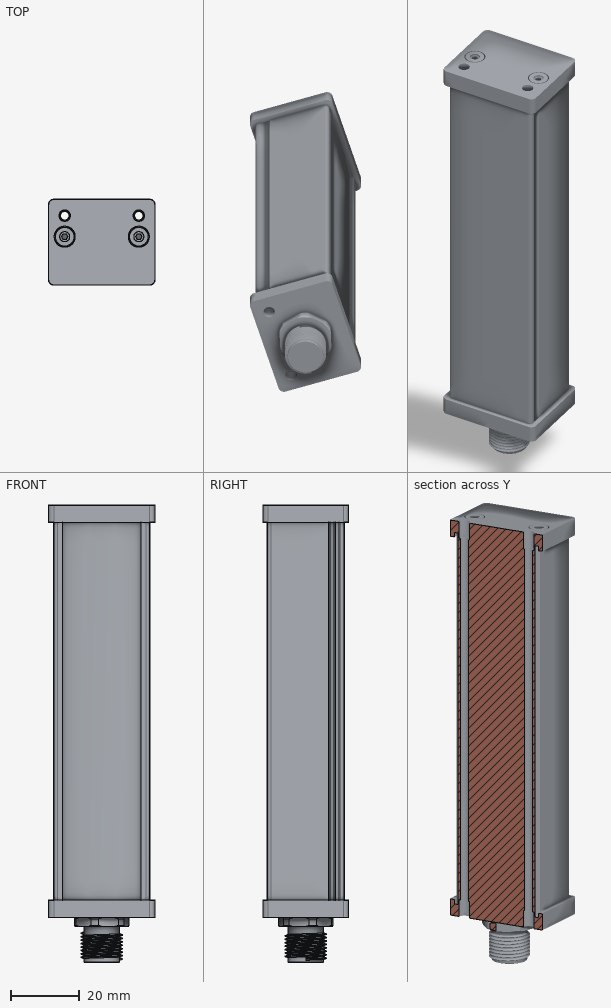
import cadquery as cq
import math

total_length = 133.1

cap_width = 31.0
cap_depth = 25.0
cap_thickness = 5.0
cap_corner_radius = 1.6
seat_depth = 1.3

tube_width = 28.0
tube_depth = 22.5
tube_visible_length = 110.0
tube_corner_radius = 1.0

window_width = 22.9
window_edge_depth = 1.3
window_bulge = 0.9

groove_rear = 1.6
groove_bevel_end = 2.5
groove_floor_rear = 3.0
groove_floor_front = 4.1
groove_front = 4.7
groove_bevel_depth = 0.4
groove_depth = 0.9

hole_spacing = 21.5
hole_y = 7.7
cap_hole_diameter = 3.3
tube_hole_diameter = 2.5

screw_y = 1.6
screw_gap_outer = 6.1
screw_gap_inner = 5.5
screw_gap_depth = 0.8
socket_rim_diameter = 2.9
socket_rim_depth = 0.4
socket_across_flats = 1.6
socket_depth = 1.6

nut_across_flats = 14.9
nut_corner_diameter = 16.1
nut_height = 2.7
nut_chamfer = 0.4
nut_turn = 15.0

neck_diameter = 10.4
neck_length = 1.5
thread_diameter = 12.0
thread_pitch = 1.0
thread_turns = 7.5
thread_crest = 0.1
thread_root = 0.9
thread_embed = 0.1
lead_in_height = 1.0
lead_in_width = 0.9
envelope_margin = 0.1

connector_length = total_length - tube_visible_length - 2 * cap_thickness
lower_cap_z = connector_length
upper_cap_z = total_length - cap_thickness
tube_z = lower_cap_z + cap_thickness - seat_depth
tube_top_z = upper_cap_z + seat_depth
tube_length = tube_top_z - tube_z
nut_z = lower_cap_z - nut_height

hole_points = [(side * hole_spacing / 2, hole_y) for side in (-1, 1)]
screw_points = [(side * hole_spacing / 2, screw_y) for side in (-1, 1)]


def rounded_bar(width, depth, corner_radius, bottom_z, height):
    """Upright rectangular bar with rounded vertical edges."""
    bar = cq.Workplane("XY").workplane(offset=bottom_z).rect(width, depth).extrude(height)
    return bar.edges("|Z").fillet(corner_radius)


def end_cap(bottom_z, seat_z):
    """Rounded plate with a shallow pocket, starting at seat_z, for the tube end."""
    plate = rounded_bar(cap_width, cap_depth, cap_corner_radius, bottom_z, cap_thickness)
    seat = rounded_bar(tube_width, tube_depth, tube_corner_radius, seat_z, seat_depth)
    return plate.cut(seat)


def window_recess():
    """Front recess whose floor is a shallow outward arc."""
    face_y = -tube_depth / 2
    edge_y = face_y + window_edge_depth
    half = window_width / 2
    return (
        cq.Workplane("XY").workplane(offset=tube_z)
        .moveTo(-half, face_y)
        .lineTo(-half, edge_y)
        .threePointArc((0, edge_y - window_bulge), (half, edge_y))
        .lineTo(half, face_y)
        .close()
        .extrude(tube_length)
    )


def side_groove():
    """Mounting groove along the -X side, near the rear face."""
    outer_x = -tube_width / 2
    floor_x = outer_x + groove_depth
    rear_y = tube_depth / 2
    outline = [
        (outer_x, rear_y - groove_rear),
        (outer_x + groove_bevel_depth, rear_y - groove_bevel_end),
        (floor_x, rear_y - groove_floor_rear),
        (floor_x, rear_y - groove_floor_front),
        (outer_x, rear_y - groove_front),
    ]
    return cq.Workplane("XY").workplane(offset=tube_z).polyline(outline).close().extrude(tube_length)


def tube():
    """Extruded housing with the front window and a groove on each side."""
    body = rounded_bar(tube_width, tube_depth, tube_corner_radius, tube_z, tube_length)
    groove = side_groove()
    return body.cut(window_recess()).cut(groove).cut(groove.mirror("YZ"))


def through_holes():
    """Pair of long holes, wider in the end caps than in the tube."""
    bores = (
        cq.Workplane("XY").workplane(offset=lower_cap_z)
        .pushPoints(hole_points).circle(tube_hole_diameter / 2).extrude(total_length - lower_cap_z)
    )
    for bottom_z in (lower_cap_z, upper_cap_z):
        wide = (
            cq.Workplane("XY").workplane(offset=bottom_z)
            .pushPoints(hole_points).circle(cap_hole_diameter / 2).extrude(cap_thickness)
        )
        bores = bores.union(wide)
    return bores


def screw_recesses():
    """Ring gap around each flush screw head, and its stepped hex socket."""
    top = cq.Workplane("XY").workplane(offset=total_length).pushPoints(screw_points)
    gap = top.circle(screw_gap_outer / 2).circle(screw_gap_inner / 2).extrude(-screw_gap_depth)
    rim = top.circle(socket_rim_diameter / 2).extrude(-socket_rim_depth)
    corner_diameter = socket_across_flats / math.cos(math.pi / 6)
    socket = top.polygon(6, corner_diameter).extrude(-socket_depth)
    return gap.union(rim).union(socket)


def nut():
    """Hexagon trimmed by a chamfered round blank."""
    blank = (
        cq.Workplane("XY").workplane(offset=nut_z)
        .circle(nut_corner_diameter / 2).extrude(nut_height)
        .faces("<Z or >Z").chamfer(nut_chamfer)
    )
    hexagon = (
        cq.Workplane("XY").workplane(offset=nut_z)
        .polygon(6, nut_across_flats / math.cos(math.pi / 6)).extrude(nut_height)
        .rotate((0, 0, 0), (0, 0, 1), nut_turn)
    )
    return blank.intersect(hexagon)


def thread_ridge():
    """Helical ridge with a trapezoid profile, rooted just inside the core."""
    root_radius = neck_diameter / 2 - thread_embed
    crest_radius = thread_diameter / 2
    rise = thread_turns * thread_pitch
    start_z = nut_z - neck_length - thread_root / 2 - rise
    helix = cq.Wire.makeHelix(thread_pitch, rise, root_radius).translate(cq.Vector(0, 0, start_z))
    profile = [
        (root_radius, start_z - thread_root / 2),
        (crest_radius, start_z - thread_crest / 2),
        (crest_radius, start_z + thread_crest / 2),
        (root_radius, start_z + thread_root / 2),
    ]
    return cq.Workplane("XZ").polyline(profile).close().sweep(cq.Workplane(helix), isFrenet=True)


def threaded_stub():
    """Neck with a helical thread, tapered at its free end."""
    core = cq.Workplane("XY").circle(neck_diameter / 2).extrude(lower_cap_z)
    envelope = (
        cq.Workplane("XY").circle(thread_diameter / 2 + envelope_margin).extrude(lower_cap_z)
        .faces("<Z").chamfer(lead_in_width, lead_in_height)
    )
    return core.union(thread_ridge()).intersect(envelope)


result = (
    end_cap(lower_cap_z, tube_z)
    .union(tube())
    .union(end_cap(upper_cap_z, upper_cap_z))
    .cut(through_holes())
    .cut(screw_recesses())
    .union(nut())
    .union(threaded_stub())
)